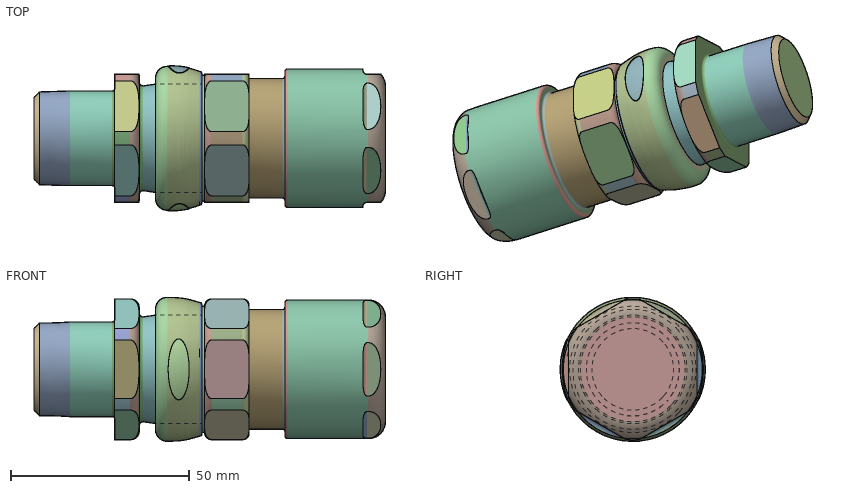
import cadquery as cq
import math


TAPER_END = 10.2
ENTRY_HEX_START = 22.65
ENTRY_HEX_END = 29.6
BOOT_START = 34.1
BOOT_CREST = 37.55
BOOT_DOME_END = 46.55
BOOT_END = 47.2
MIDDLE_HEX_START = 47.9
MIDDLE_HEX_END = 60.45
BACK_NUT_START = 70.45
WRENCH_FLAT_START = 92.4
TOTAL_LENGTH = 98.75

FLAT_COUNT = 6
HEX_ACROSS_FLATS = 36.0
HEX_CORNER_RADIUS = 19.8
HEX_ACROSS_CORNERS = HEX_ACROSS_FLATS / math.cos(math.pi / FLAT_COUNT)
ENTRY_HEX_ROUND = 2.5
MIDDLE_HEX_FRONT_ROUND = 2.05
MIDDLE_HEX_BACK_ROUND = 1.85

THREAD_RADIUS = 26.67 / 2
PIPE_TAPER = 1 / 32
TIP_CHAMFER = 1.6
TIP_RADIUS = THREAD_RADIUS - PIPE_TAPER * (TAPER_END - TIP_CHAMFER)
SHOULDER_FILLET = 0.6
RELIEF_RADIUS = 29.5 / 2
RELIEF_FILLET = 1.05
SPIGOT_RADIUS = 30.5 / 2

BOOT_CREST_RADIUS = 20.25
BOOT_FRONT_RADIUS = 17.0
BOOT_DOME_END_RADIUS = 18.8
BOOT_DOME_BULGE = 0.5
BOOT_EDGE_ROUND = BOOT_END - BOOT_DOME_END
PAD_LENGTH = 5.9
PAD_HEIGHT = 17.1
PAD_RAISE = 0.12
PAD_CENTRE = 40.65

COLLAR_RADIUS = HEX_CORNER_RADIUS - MIDDLE_HEX_FRONT_ROUND
NECK_RADIUS = 33.7 / 2
BACK_NUT_RADIUS = 19.5
BACK_NUT_FRONT_ROUND = 0.8
BACK_NUT_END_ROUND = 4.85
WRENCH_FLAT_FILLET = 1.2


def revolve_about_x(outline):
    return outline.close().revolve(360, (0, 0, 0), (1, 0, 0))


def start_outline(x):
    return cq.Workplane("XY").moveTo(x, 0)


def hex_prism(start, end):
    """Hexagonal prism along X with flats facing +Y and -Y."""
    return (
        cq.Workplane("YZ", origin=(start, 0, 0))
        .transformed(rotate=(0, 0, 90))
        .polygon(FLAT_COUNT, HEX_ACROSS_CORNERS)
        .extrude(end - start)
    )


def make_entry():
    hex_blank = revolve_about_x(
        start_outline(ENTRY_HEX_START)
        .lineTo(ENTRY_HEX_START, HEX_CORNER_RADIUS)
        .lineTo(ENTRY_HEX_END - ENTRY_HEX_ROUND, HEX_CORNER_RADIUS)
        .radiusArc((ENTRY_HEX_END, HEX_CORNER_RADIUS - ENTRY_HEX_ROUND), ENTRY_HEX_ROUND)
        .lineTo(ENTRY_HEX_END, 0)
    )
    hexagon = hex_blank.intersect(hex_prism(ENTRY_HEX_START, ENTRY_HEX_END))
    thread = revolve_about_x(
        start_outline(0)
        .lineTo(0, TIP_RADIUS - TIP_CHAMFER)
        .lineTo(TIP_CHAMFER, TIP_RADIUS)
        .lineTo(TAPER_END, THREAD_RADIUS)
        .lineTo(ENTRY_HEX_START - SHOULDER_FILLET, THREAD_RADIUS)
        .radiusArc((ENTRY_HEX_START, THREAD_RADIUS + SHOULDER_FILLET), -SHOULDER_FILLET)
        .lineTo(ENTRY_HEX_START, 0)
    )
    spigot = revolve_about_x(
        start_outline(ENTRY_HEX_END)
        .lineTo(ENTRY_HEX_END, RELIEF_RADIUS + RELIEF_FILLET)
        .radiusArc((ENTRY_HEX_END + RELIEF_FILLET, RELIEF_RADIUS), -RELIEF_FILLET)
        .lineTo(BOOT_START, SPIGOT_RADIUS)
        .lineTo(BOOT_END, SPIGOT_RADIUS)
        .lineTo(BOOT_END, 0)
    )
    return hexagon.union(thread).union(spigot)


def boot_blank(raise_by):
    """Revolved boot, with its dome lifted by raise_by."""
    crest = BOOT_CREST_RADIUS + raise_by
    dome_end = BOOT_DOME_END_RADIUS + raise_by
    midway = math.sqrt(0.5)
    return revolve_about_x(
        cq.Workplane("XY")
        .moveTo(BOOT_START, SPIGOT_RADIUS)
        .lineTo(BOOT_START, BOOT_FRONT_RADIUS)
        .threePointArc(
            (
                BOOT_CREST - (BOOT_CREST - BOOT_START) * midway,
                BOOT_FRONT_RADIUS + (crest - BOOT_FRONT_RADIUS) * midway,
            ),
            (BOOT_CREST, crest),
        )
        .threePointArc(
            ((BOOT_CREST + BOOT_DOME_END) / 2, (crest + dome_end) / 2 + BOOT_DOME_BULGE),
            (BOOT_DOME_END, dome_end),
        )
        .radiusArc((BOOT_END, dome_end - BOOT_EDGE_ROUND), BOOT_EDGE_ROUND)
        .lineTo(BOOT_END, SPIGOT_RADIUS)
    )


def make_boot():
    """Boot ring with a slightly raised elliptical pad on the -Y and +Y sides."""
    pad_column = (
        cq.Workplane("XZ")
        .center(PAD_CENTRE, 0)
        .ellipse(PAD_LENGTH / 2, PAD_HEIGHT / 2)
        .extrude(BOOT_CREST_RADIUS * 2, both=True)
    )
    pads = boot_blank(PAD_RAISE).intersect(pad_column)
    return boot_blank(0).union(pads)


def make_middle_nut():
    hex_blank = revolve_about_x(
        start_outline(MIDDLE_HEX_START)
        .lineTo(MIDDLE_HEX_START, HEX_CORNER_RADIUS - MIDDLE_HEX_FRONT_ROUND)
        .radiusArc(
            (MIDDLE_HEX_START + MIDDLE_HEX_FRONT_ROUND, HEX_CORNER_RADIUS),
            MIDDLE_HEX_FRONT_ROUND,
        )
        .lineTo(MIDDLE_HEX_END - MIDDLE_HEX_BACK_ROUND, HEX_CORNER_RADIUS)
        .radiusArc((MIDDLE_HEX_END, HEX_CORNER_RADIUS - MIDDLE_HEX_BACK_ROUND), MIDDLE_HEX_BACK_ROUND)
        .lineTo(MIDDLE_HEX_END, 0)
    )
    hexagon = hex_blank.intersect(hex_prism(MIDDLE_HEX_START, MIDDLE_HEX_END))
    collar_length = MIDDLE_HEX_START - BOOT_END
    collar = cq.Workplane("YZ", origin=(BOOT_END, 0, 0)).circle(COLLAR_RADIUS).extrude(collar_length)
    return hexagon.union(collar)


def wrench_flat_cutter():
    """Cutter for the flat on the +Y side, with a filleted inner corner at its start."""
    flat = HEX_ACROSS_FLATS / 2
    outside = BACK_NUT_RADIUS + 1
    return (
        cq.Workplane("XY", origin=(0, 0, -BACK_NUT_RADIUS))
        .moveTo(WRENCH_FLAT_START, outside)
        .lineTo(WRENCH_FLAT_START, flat + WRENCH_FLAT_FILLET)
        .radiusArc((WRENCH_FLAT_START + WRENCH_FLAT_FILLET, flat), -WRENCH_FLAT_FILLET)
        .lineTo(TOTAL_LENGTH, flat)
        .lineTo(TOTAL_LENGTH, outside)
        .close()
        .extrude(2 * BACK_NUT_RADIUS)
    )


def make_back_nut():
    nut = revolve_about_x(
        start_outline(MIDDLE_HEX_END)
        .lineTo(MIDDLE_HEX_END, NECK_RADIUS)
        .lineTo(BACK_NUT_START - SHOULDER_FILLET, NECK_RADIUS)
        .radiusArc((BACK_NUT_START, NECK_RADIUS + SHOULDER_FILLET), -SHOULDER_FILLET)
        .lineTo(BACK_NUT_START, BACK_NUT_RADIUS - BACK_NUT_FRONT_ROUND)
        .radiusArc((BACK_NUT_START + BACK_NUT_FRONT_ROUND, BACK_NUT_RADIUS), BACK_NUT_FRONT_ROUND)
        .lineTo(TOTAL_LENGTH - BACK_NUT_END_ROUND, BACK_NUT_RADIUS)
        .radiusArc((TOTAL_LENGTH, BACK_NUT_RADIUS - BACK_NUT_END_ROUND), BACK_NUT_END_ROUND)
        .lineTo(TOTAL_LENGTH, 0)
    )
    cutter = wrench_flat_cutter()
    for index in range(FLAT_COUNT):
        angle = index * 360 / FLAT_COUNT
        nut = nut.cut(cutter.rotate((0, 0, 0), (1, 0, 0), angle))
    return nut


entry = make_entry()
boot = make_boot()
middle_nut = make_middle_nut()
back_nut = make_back_nut()

result = cq.Compound.makeCompound(
    [*entry.solids().vals(), *boot.solids().vals(), *middle_nut.solids().vals(), *back_nut.solids().vals()]
)